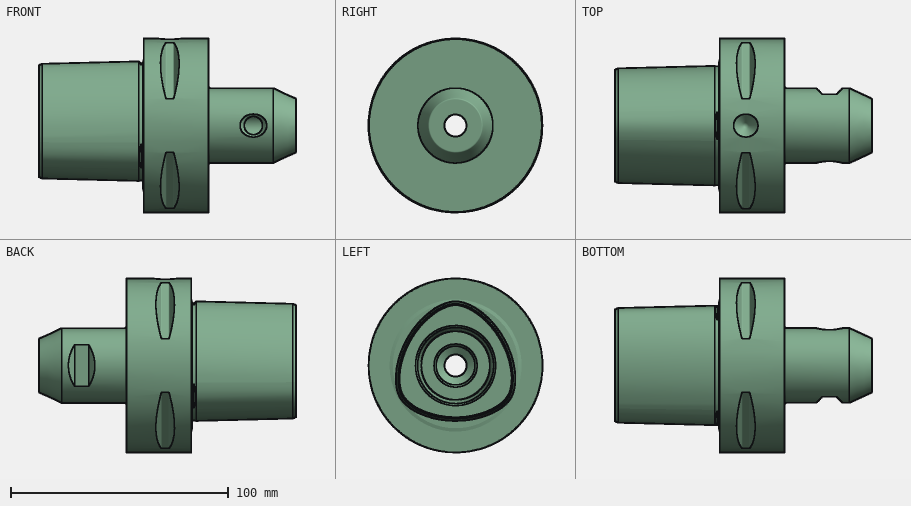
import cadquery as cq
import math

total_length = 118.0
shank_length = 45.8
flange_start = 48.0
flange_end = 78.0
spigot_cone_start = 107.6

lobe_mean_radius = 27.5
lobe_eccentricity = 2.0
taper_ratio = 1 / 40
lobe_seam_angle = 26.2
points_per_segment = 9
shank_nose_chamfer = 1.4
shank_nose_inset = 0.7

neck_inset = 0.1
neck_radius = 28.5
neck_cone_length = 1.1
ring_height = 0.4
ring_base_radius = 30.3
ring_face_radius = 28.8

flange_radius = 40.0
flange_chamfer = 0.4
slot_center_x = flange_start + 12.0
slot_floor_width = 3.5
slot_floor_fillet = 0.6
slot_floor_distance = 35.6
slot_side_angle = 30.0
dimple_radius = 11.2 / 2

spigot_radius = 17.2
spigot_root_fillet = 0.6
spigot_cone_angle = 25.0
spigot_end_fillet = 0.7
cross_hole_x = 98.4
cross_hole_diameter = 8.4
countersink_radius = 6.1
notch_depth = 2.8
notch_floor_width = 6.5
notch_side_angle = 45.0

mouth_radius = 18.4
mouth_chamfer = 1.0
bore_entry_radius = 17.5
lip_start = 6.1
lip_end = 9.0
lip_base_radius = 32.0 / 2
lip_radius = 15.7
lip_chamfer_length = 1.0
recess_end = 15.1
recess_radius = 19.0
chamber_radius = 16.9
chamber_end = 53.1
pilot_mouth_radius = 9.9
pilot_radius = 17.8 / 2
pilot_depth = 11.8
pilot_half_angle = 59.0
through_radius = 10.0 / 2

cutter_overshoot = 1.2


def lobe_point(mean_radius, normal_angle):
    """Point (y, z) of a constant-width curve with one of its three tips on +Z."""
    swing = 3 * (normal_angle - math.pi / 2)
    reach = mean_radius + lobe_eccentricity * math.cos(swing)
    slide = -3 * lobe_eccentricity * math.sin(swing)
    y = reach * math.cos(normal_angle) - slide * math.sin(normal_angle)
    z = reach * math.sin(normal_angle) + slide * math.cos(normal_angle)
    return y, z


def lobe_segment(x, mean_radius, start_angle, end_angle):
    """One smooth piece of the lobed outline, between two seams."""
    angles = [
        math.radians(start_angle + (end_angle - start_angle) * i / (points_per_segment - 1))
        for i in range(points_per_segment)
    ]
    points = [cq.Vector(x, *lobe_point(mean_radius, angle)) for angle in angles]
    tangents = [cq.Vector(0, -math.sin(a), math.cos(a)) for a in (angles[0], angles[-1])]
    return cq.Edge.makeSpline(points, tangents=tangents)


def lobe_outline(x, mean_radius):
    """Closed lobed outline in the plane at x, split beside each tip."""
    edges = []
    tip_angles = (90, 210, 330)
    tip_spacing = 120
    for tip_angle in tip_angles:
        tip_start = tip_angle - lobe_seam_angle
        tip_end = tip_angle + lobe_seam_angle
        side_end = tip_start + tip_spacing
        edges.append(lobe_segment(x, mean_radius, tip_start, tip_end))
        edges.append(lobe_segment(x, mean_radius, tip_end, side_end))
    return cq.Wire.assembleEdges(edges)


def lobe_solid(x_start, radius_start, x_end, radius_end):
    outlines = [lobe_outline(x_start, radius_start), lobe_outline(x_end, radius_end)]
    return cq.Workplane(cq.Solid.makeLoft(outlines, True))


def turned(profile):
    """Solid of revolution about X from (x, radius) points closed along the axis."""
    closed = [(profile[0][0], 0)] + profile + [(profile[-1][0], 0)]
    return cq.Workplane("XY").polyline(closed).close().revolve(360, (0, 0, 0), (1, 0, 0))


def tapered_radius(x):
    """Mean radius of the tapered shank at x."""
    return lobe_mean_radius - (shank_length - x) * taper_ratio


def make_shank():
    nose_radius = tapered_radius(shank_nose_chamfer)
    nose = lobe_solid(0, nose_radius - shank_nose_inset, shank_nose_chamfer, nose_radius)
    body = lobe_solid(shank_nose_chamfer, nose_radius, shank_length, lobe_mean_radius)
    inset_radius = lobe_mean_radius - neck_inset
    neck = lobe_solid(shank_length, inset_radius, flange_start, inset_radius)
    relief = turned([
        (shank_length, lobe_mean_radius + lobe_eccentricity),
        (shank_length + neck_cone_length, neck_radius),
        (flange_start, neck_radius),
    ])
    neck = neck.intersect(relief)
    return nose.union(body).union(neck)


def make_flange():
    ring = turned([
        (flange_start - ring_height, ring_face_radius),
        (flange_start, ring_base_radius),
        (flange_end, ring_base_radius),
    ])
    disc = turned([(flange_start, flange_radius), (flange_end, flange_radius)])
    return disc.faces(">X").edges().chamfer(flange_chamfer).union(ring)


def make_spigot():
    cone_length = total_length - spigot_cone_start
    end_radius = spigot_radius - cone_length * math.tan(math.radians(spigot_cone_angle))
    spigot = turned([
        (flange_end, spigot_radius),
        (spigot_cone_start, spigot_radius),
        (total_length, end_radius),
    ])
    return spigot.faces(">X").edges().fillet(spigot_end_fillet)


def make_root_flare():
    """Concave rounding where the spigot meets the flange."""
    flare = spigot_radius + spigot_root_fillet
    return (
        cq.Workplane("XY")
        .moveTo(flange_end, 0)
        .lineTo(flange_end, flare)
        .radiusArc((flange_end + spigot_root_fillet, spigot_radius), -spigot_root_fillet)
        .lineTo(flange_end + spigot_root_fillet, 0)
        .close()
        .revolve(360, (0, 0, 0), (1, 0, 0))
    )


def trapezoid_groove(floor_width, floor_height, top_height, side_angle, length):
    """Groove cutter running along Y, centred on X = 0, widening toward +Z."""
    spread = (top_height - floor_height) * math.tan(math.radians(side_angle))
    half_floor = floor_width / 2
    half_top = half_floor + spread
    return (
        cq.Workplane("XZ")
        .polyline([
            (-half_floor, floor_height),
            (half_floor, floor_height),
            (half_top, top_height),
            (-half_top, top_height),
        ])
        .close()
        .extrude(length / 2, both=True)
    )


def cut_flange_slots(body):
    slot = trapezoid_groove(
        slot_floor_width,
        slot_floor_distance,
        flange_radius + cutter_overshoot,
        slot_side_angle,
        2 * flange_radius,
    )
    slot = slot.faces("<Z").edges("|Y").fillet(slot_floor_fillet).translate((slot_center_x, 0, 0))
    for angle in (45, 135, 225, 315):
        body = body.cut(slot.rotate((0, 0, 0), (1, 0, 0), angle))
    return body


def cut_dimple(body):
    dimple = cq.Solid.makeCone(
        dimple_radius, 0, dimple_radius, cq.Vector(slot_center_x, 0, flange_radius), cq.Vector(0, 0, -1)
    )
    return body.cut(cq.Workplane(dimple))


def cut_cross_hole(body):
    """Countersunk hole from the -Y side of the spigot into the axial bore."""
    mouth = cq.Vector(cross_hole_x, -spigot_radius, 0)
    inward = cq.Vector(0, 1, 0)
    hole = cq.Solid.makeCylinder(cross_hole_diameter / 2, spigot_radius, mouth, inward)
    countersink = cq.Solid.makeCone(countersink_radius, 0, countersink_radius, mouth, inward)
    return body.cut(cq.Workplane(hole)).cut(cq.Workplane(countersink))


def cut_notch(body):
    """Flat-bottomed notch across the +Y side of the spigot."""
    notch = trapezoid_groove(
        notch_floor_width,
        spigot_radius - notch_depth,
        spigot_radius + cutter_overshoot,
        notch_side_angle,
        2 * spigot_radius,
    )
    notch = notch.rotate((0, 0, 0), (1, 0, 0), -90).translate((cross_hole_x, 0, 0))
    return body.cut(notch)


def make_bore():
    chamber_start = recess_end + recess_radius - chamber_radius
    pilot_chamfer = pilot_mouth_radius - pilot_radius
    pilot_end = chamber_end + pilot_depth
    pilot_tip = pilot_end + (pilot_radius - through_radius) / math.tan(math.radians(pilot_half_angle))
    return turned([
        (0, mouth_radius),
        (mouth_chamfer, bore_entry_radius),
        (lip_start, lip_base_radius),
        (lip_start + lip_chamfer_length, lip_radius),
        (lip_end - lip_chamfer_length, lip_radius),
        (lip_end, lip_base_radius),
        (lip_end, recess_radius),
        (recess_end, recess_radius),
        (chamber_start, chamber_radius),
        (chamber_end, chamber_radius),
        (chamber_end, pilot_mouth_radius),
        (chamber_end + pilot_chamfer, pilot_radius),
        (pilot_end, pilot_radius),
        (pilot_tip, through_radius),
        (total_length, through_radius),
    ])


part = make_shank().union(make_flange()).union(make_spigot()).union(make_root_flare())
part = cut_flange_slots(part)
part = cut_dimple(part)
part = cut_cross_hole(part)
part = cut_notch(part)
result = part.cut(make_bore())